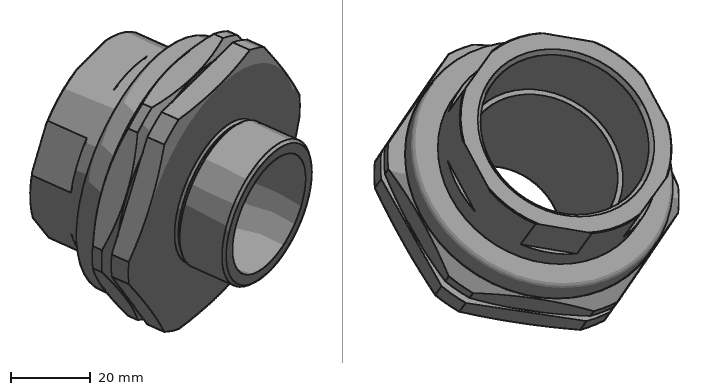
import cadquery as cq
import math

total_length = 53.65

socket_radius = 28.0
socket_edge_chamfer = 0.2
wrench_flat_distance = 27.0
wrench_flat_length = 12.0
wrench_flat_turn = 1.2

flange_start = 17.8
flange_radius = 34.7
flange_edge_radius = 2.0

hex_across_flats = 70.0
hex_corner_radius = 38.5
body_hex_start = 23.85
body_hex_end = 31.0
body_bevel_angle = 30.0
front_bevel_length = 2.2
back_bevel_length = 2.1
thread_radius = 31.5
nut_start = 31.85
nut_end = 38.25
nut_bevel_angle = 18.0
nut_bevel_length = 1.2

spigot_radius = 20.0
undercut_radius = 18.9
undercut_start = 38.95
undercut_end = 39.0
spigot_end_chamfer = 0.8

mouth_radius = 23.3
mouth_chamfer_length = 1.1
socket_bore_radius = 22.25
socket_bore_end_radius = 21.55
socket_bore_depth = 19.6
seat_radius = 20.2
seat_end = 24.25
outlet_radius = 16.4


def turned(profile):
    """Revolve a closed (x, radius) outline about the X axis."""
    return cq.Workplane("XY").polyline(profile).close().revolve(360, (0, 0, 0), (1, 0, 0))


def hex_prism(start, end, across_flats):
    """Hexagonal prism along X with flats facing +Z and -Z."""
    across_corners = across_flats / math.cos(math.pi / 6)
    return (
        cq.Workplane("YZ", origin=(start, 0, 0))
        .polygon(6, across_corners)
        .extrude(end - start)
    )


def body_hex():
    """Hexagon body with conical bevels on both sides."""
    slope = 1 / math.tan(math.radians(body_bevel_angle))
    envelope = turned([
        (body_hex_start, 0),
        (body_hex_start, hex_corner_radius - front_bevel_length * slope),
        (body_hex_start + front_bevel_length, hex_corner_radius),
        (body_hex_end - back_bevel_length, hex_corner_radius),
        (body_hex_end, hex_corner_radius - back_bevel_length * slope),
        (body_hex_end, 0),
    ])
    return hex_prism(body_hex_start, body_hex_end, hex_across_flats).intersect(envelope)


def lock_nut():
    """Hexagon lock nut with a conical bevel on its outer side only."""
    slope = 1 / math.tan(math.radians(nut_bevel_angle))
    envelope = turned([
        (nut_start, 0),
        (nut_start, hex_corner_radius),
        (nut_end - nut_bevel_length, hex_corner_radius),
        (nut_end, hex_corner_radius - nut_bevel_length * slope),
        (nut_end, 0),
    ])
    return hex_prism(nut_start, nut_end, hex_across_flats).intersect(envelope)


def socket():
    """Round socket end with six wrench flats and a broken front edge."""
    body = cq.Workplane("YZ").circle(socket_radius).extrude(flange_start)
    body = body.faces("<X").chamfer(socket_edge_chamfer)
    flats = hex_prism(0, wrench_flat_length, 2 * wrench_flat_distance)
    flats = flats.rotate((0, 0, 0), (1, 0, 0), wrench_flat_turn)
    outside_flats = cq.Workplane("YZ").circle(flange_radius).extrude(wrench_flat_length).cut(flats)
    return body.cut(outside_flats)


def flange():
    """Round flange with a rounded front edge."""
    disc = cq.Workplane("YZ", origin=(flange_start, 0, 0)).circle(flange_radius)
    return disc.extrude(body_hex_start - flange_start).faces("<X").edges().fillet(flange_edge_radius)


def thread():
    """Plain cylinder joining the hexagon body and the lock nut."""
    disc = cq.Workplane("YZ", origin=(body_hex_end, 0, 0)).circle(thread_radius)
    return disc.extrude(nut_start - body_hex_end)


def spigot():
    """Outlet spigot with a V-shaped undercut next to the nut and a chamfered end."""
    undercut_depth = spigot_radius - undercut_radius
    return turned([
        (nut_end, 0),
        (nut_end, undercut_radius + undercut_start - nut_end),
        (undercut_start, undercut_radius),
        (undercut_end, undercut_radius),
        (undercut_end + undercut_depth, spigot_radius),
        (total_length - spigot_end_chamfer, spigot_radius),
        (total_length, spigot_radius - spigot_end_chamfer),
        (total_length, 0),
    ])


def bore():
    """Through bore: chamfered mouth, tapered socket, seat and conical outlet."""
    return turned([
        (0, 0),
        (0, mouth_radius),
        (mouth_chamfer_length, socket_bore_radius),
        (socket_bore_depth, socket_bore_end_radius),
        (socket_bore_depth, seat_radius),
        (seat_end, seat_radius),
        (total_length, outlet_radius),
        (total_length, 0),
    ])


result = socket()
for section in (flange(), body_hex(), thread(), lock_nut(), spigot()):
    result = result.union(section)
result = result.cut(bore())